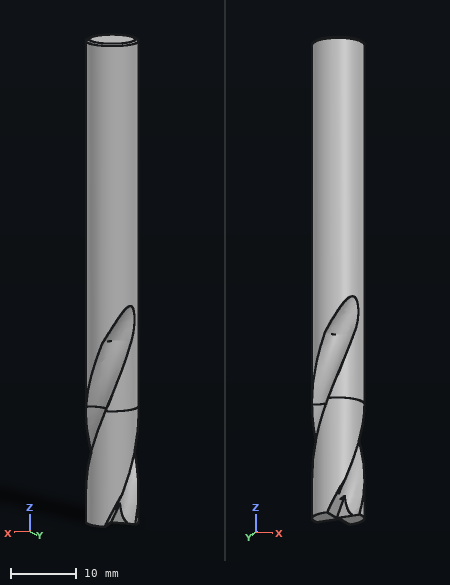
import cadquery as cq
import math

DIAMETER = 8.0
RADIUS = DIAMETER / 2
LENGTH = 75.0
CUTTER_LENGTH = 18.0
CHAMFER_RADIAL = 0.45
CHAMFER_AXIAL = 0.3

FLUTE_COUNT = 2
FLUTE_SPACING = 360 / FLUTE_COUNT
FLUTE_LEAD = 62.25
FLUTE_RADIUS = 2.4
FLUTE_CENTRE = 4.2
FLUTE_START_ANGLE = 273.5
FLUTE_HELIX_TOP = 28.5
FLUTE_TWIST = 360 * FLUTE_HELIX_TOP / FLUTE_LEAD

RUNOUT_LENGTHS = 2
RUNOUT_RISE = 6.3
RUNOUT_OUTWARD = 1.5
RUNOUT_TANGENTIAL = 3.6

GASH_FOLD = (-0.3, -0.2)
GASH_BACK_EDGE = (-2.6, -3.1)
GASH_FRONT_EDGE = (1.5, -2.0)
GASH_CLEAR_POINT = (1.5, -6.0)
GASH_DIRECTION = (1.0, -1.8, 3.8)
GASH_REACH = 1.5
GASH_OVERSHOOT = 1.5


def make_helix_cutter(start_angle):
    x = FLUTE_CENTRE * math.cos(math.radians(start_angle))
    y = FLUTE_CENTRE * math.sin(math.radians(start_angle))
    section = cq.Workplane("XY").moveTo(x, y).circle(FLUTE_RADIUS)
    return section.twistExtrude(FLUTE_HELIX_TOP, FLUTE_TWIST)


def make_runout_cutter(start_angle):
    angle = start_angle + FLUTE_TWIST
    cosine = math.cos(math.radians(angle))
    sine = math.sin(math.radians(angle))
    centre = cq.Vector(FLUTE_CENTRE * cosine, FLUTE_CENTRE * sine, FLUTE_HELIX_TOP)
    section = cq.Wire.makeCircle(FLUTE_RADIUS, centre, cq.Vector(0, 0, 1))
    direction = cq.Vector(
        RUNOUT_OUTWARD * cosine - RUNOUT_TANGENTIAL * sine,
        RUNOUT_OUTWARD * sine + RUNOUT_TANGENTIAL * cosine,
        RUNOUT_RISE,
    )
    return cq.Workplane(cq.Solid.extrudeLinear(section, [], direction * RUNOUT_LENGTHS))


def make_gash_cutter(turn):
    fold = cq.Vector(*GASH_FOLD)
    back = fold + (cq.Vector(*GASH_BACK_EDGE) - fold) * GASH_OVERSHOOT
    corners = [fold, back, cq.Vector(*GASH_CLEAR_POINT), cq.Vector(*GASH_FRONT_EDGE)]
    outline = cq.Wire.makePolygon(corners, close=True)
    cutter = cq.Solid.extrudeLinear(outline, [], cq.Vector(*GASH_DIRECTION) * GASH_REACH)
    return cq.Workplane(cutter).rotate((0, 0, 0), (0, 0, 1), turn)


def make_cutting_end():
    body = cq.Workplane("XY").circle(RADIUS).extrude(CUTTER_LENGTH)
    for index in range(FLUTE_COUNT):
        turn = index * FLUTE_SPACING
        body = body.cut(make_helix_cutter(FLUTE_START_ANGLE + turn))
        body = body.cut(make_gash_cutter(turn))
    return body


def make_shank():
    body = cq.Workplane("XY", origin=(0, 0, CUTTER_LENGTH)).circle(RADIUS).extrude(LENGTH - CUTTER_LENGTH)
    body = body.faces(">Z").chamfer(CHAMFER_AXIAL, CHAMFER_RADIAL)
    for index in range(FLUTE_COUNT):
        start_angle = FLUTE_START_ANGLE + index * FLUTE_SPACING
        body = body.cut(make_helix_cutter(start_angle))
        body = body.cut(make_runout_cutter(start_angle))
    return body


cutting_end = make_cutting_end()
shank = make_shank()
result = cq.Compound.makeCompound([cutting_end.val(), shank.val()])